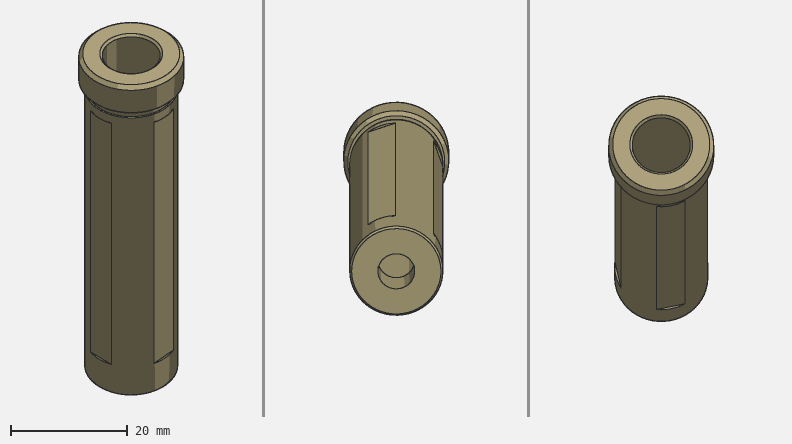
import cadquery as cq
import math

length = 69.85
head_radius = 9.0
head_height = 6.35
head_chamfer = 0.7

shank_diameter = 16.0
shank_radius = shank_diameter / 2
groove_radius = 7.7
groove_width = 1.3
foot_chamfer = 0.35

flat_width = 4.95
flat_bottom = 6.5
flat_top = 60.3
flat_distance = math.sqrt(shank_radius**2 - (flat_width / 2) ** 2)

through_radius = 3.15
bore_radius = 4.95
bore_floor = flat_bottom
bore_chamfer = 0.4

head_bottom = length - head_height
groove_bottom = head_bottom - groove_width


def make_cylinder(radius, bottom, top):
    return cq.Workplane("XY").workplane(offset=bottom).circle(radius).extrude(top - bottom)


def make_body():
    shank = make_cylinder(shank_radius, 0, groove_bottom).faces("<Z").chamfer(foot_chamfer)
    neck = make_cylinder(groove_radius, groove_bottom, head_bottom)
    head = make_cylinder(head_radius, head_bottom, length).edges().chamfer(head_chamfer)
    return shank.union(neck).union(head)


def cut_bore(body):
    mouth_radius = bore_radius + bore_chamfer
    mouth_bottom = length - bore_chamfer
    profile = [
        (0, 0),
        (through_radius, 0),
        (through_radius, bore_floor),
        (bore_radius, bore_floor),
        (bore_radius, mouth_bottom),
        (mouth_radius, length),
        (0, length),
    ]
    bore = cq.Workplane("XZ").polyline(profile).close().revolve(360, (0, 0), (0, 1))
    return body.cut(bore)


def cut_flats(body):
    cutter_depth = head_radius - flat_distance
    cutter = cq.Workplane("XY").box(
        cutter_depth, 2 * shank_radius, flat_top - flat_bottom, centered=(False, True, False)
    ).translate((flat_distance, 0, flat_bottom))
    for angle in (0, 90, 180, 270):
        body = body.cut(cutter.rotate((0, 0, 0), (0, 0, 1), angle))
    return body


result = cut_flats(cut_bore(make_body()))